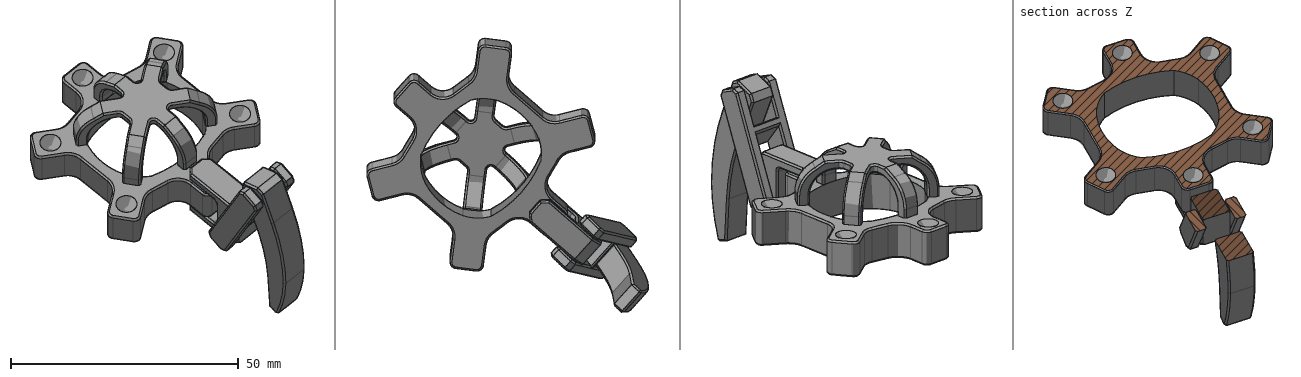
import cadquery as cq
import math

edge_bevel = 0.4
diagonal_angle = 56.0

ring_height = 8.35
arm_width = 7.4
arm_nose_radius = 1.45
straight_reach = 23.0
diagonal_reach = 25.2
body_half_depth = 15.9
flank_half_width = 15.3
flank_lean = 11.0
arm_root_radius = 3.9
opening_half_width = 11.7
opening_half_depth = 13.25
opening_flank_end = (10.25, 8.3)
opening_corner_mid = (8.35, 10.45)
opening_edge_end = (5.6, 12.2)
socket_diameter = 4.6
socket_depth = 2.3
straight_socket_distance = 19.5
diagonal_socket_distance = 21.2

leg_width = 4.1
leg_thickness = 2.65
straight_leg_reach = 14.35
diagonal_leg_reach = 15.75
straight_slope_end = 7.8
diagonal_slope_end = 9.75
leg_straight_height = 2.1
leg_outer_radius = 7.45
leg_inner_radius = 5.9
leg_arc_sweep = 61.5
dome_top = ring_height + 10.1
dome_ceiling = ring_height + leg_straight_height + leg_inner_radius
hub_half_depth = 6.05
hub_edge_radius = 1.3
leg_root_radius = 0.9

clevis_left = 15.8
clevis_right = 32.5
clevis_height = 13.4
clevis_center_height = ring_height / 2
clevis_width = 6.5
fork_corner = 1.45
fork_slot_end = 25.3
fork_clearance = 0.2
fork_slot_radius = 1.0
clevis_end_bevel = 2.45

link_lean = 68.0
plate_front = 23.6
plate_back = 29.5
plate_bottom = 8.85
plate_top = 36.6
plate_corner = 1.05
link_width = 12.1
link_gap = 6.8
bar_front_bottom = 25.65
bar_front_top = 27.6
bar_back_bottom = 22.1
bar_back_top = 23.6

lever_width = 6.5
head_front = 22.6
head_top = 37.7
head_bevel = 3.2
head_top_end = 27.7
head_front_bottom = 32.4
tail_inner_start = (36.5, 13.4)
tail_inner_end = (41.05, -3.8)
tail_inner_tip = (41.7, -14.1)
tail_outer_start = (42.9, 17.1)
tail_outer_widest = (46.7, -1.5)
tail_outer_low = (46.0, -8.35)
tail_outer_tip = (44.3, -14.9)


def rotated(point, angle):
    """Turn a plan point about the Z axis."""
    turn = math.radians(angle)
    x, y = point
    return (
        x * math.cos(turn) - y * math.sin(turn),
        x * math.sin(turn) + y * math.cos(turn),
    )


def mirrored_four_ways(quarter):
    """Complete a closed outline from its points in the first quadrant, listed counterclockwise."""
    left = [(-x, y) for x, y in reversed(quarter)]
    upper = quarter + left
    return upper + [(-x, -y) for x, y in upper]


def axis_distance(edge):
    """Distance of the middle of an edge from the Z axis."""
    center = edge.Center()
    return math.hypot(center.x, center.y)


def is_upright(edge):
    return edge.tangentAt(0.5).cross(cq.Vector(0, 0, 1)).Length < 0.01


def all_directions(straight_value, diagonal_value):
    """Pair the angle of each of the six arms or legs with its own value."""
    straight = [(angle, straight_value) for angle in (0, 180)]
    slanted = (diagonal_angle, 180 - diagonal_angle, 180 + diagonal_angle, -diagonal_angle)
    return straight + [(angle, diagonal_value) for angle in slanted]


def make_ring():
    half = arm_width / 2
    turn = math.radians(diagonal_angle)
    lean = math.tan(math.radians(flank_lean))
    straight_nose = (straight_reach, half)
    straight_root = (flank_half_width - half * lean, half)
    root_y = (flank_half_width * math.sin(turn) - half) / (math.cos(turn) + lean * math.sin(turn))
    flank_root = (flank_half_width - root_y * lean, root_y)
    near_nose = rotated((diagonal_reach, -half), diagonal_angle)
    far_nose = rotated((diagonal_reach, half), diagonal_angle)
    edge_root = ((body_half_depth * math.cos(turn) - half) / math.sin(turn), body_half_depth)
    outline = mirrored_four_ways(
        [straight_nose, straight_root, flank_root, near_nose, far_nose, edge_root]
    )
    ring = cq.Workplane("XY").polyline(outline).close().extrude(ring_height)

    def is_nose(edge):
        return axis_distance(edge) > straight_reach

    def is_arm_root(edge):
        return axis_distance(edge) < straight_socket_distance

    ring = ring.edges("|Z").filter(is_nose).fillet(arm_nose_radius)
    ring = ring.edges("|Z").filter(is_arm_root).fillet(arm_root_radius)
    ring = ring.faces("<Z or >Z").edges().chamfer(edge_bevel)
    return ring.cut(make_opening()).cut(make_sockets())


def make_opening():
    """Rounded hexagonal opening: an arc for each flank, corner and edge."""
    flank_x, flank_y = opening_flank_end
    corner_x, corner_y = opening_corner_mid
    edge_x, edge_y = opening_edge_end
    return (
        cq.Workplane("XY")
        .moveTo(flank_x, -flank_y)
        .threePointArc((opening_half_width, 0), (flank_x, flank_y))
        .threePointArc((corner_x, corner_y), (edge_x, edge_y))
        .threePointArc((0, opening_half_depth), (-edge_x, edge_y))
        .threePointArc((-corner_x, corner_y), (-flank_x, flank_y))
        .threePointArc((-opening_half_width, 0), (-flank_x, -flank_y))
        .threePointArc((-corner_x, -corner_y), (-edge_x, -edge_y))
        .threePointArc((0, -opening_half_depth), (edge_x, -edge_y))
        .threePointArc((corner_x, -corner_y), (flank_x, -flank_y))
        .close()
        .extrude(ring_height)
    )


def make_sockets():
    """Conical sockets in the tops of the arms."""
    centers = [
        rotated((distance, 0), angle)
        for angle, distance in all_directions(straight_socket_distance, diagonal_socket_distance)
    ]
    cone = cq.Solid.makeCone(0, socket_diameter / 2, socket_depth)
    socket = cone.translate(cq.Vector(0, 0, ring_height - socket_depth))
    return cq.Workplane("XY").pushPoints(centers).eachpoint(lambda place: socket.moved(place))


def make_leg(reach, slope_end):
    """One leg of the dome with its share of the hub, along +X."""
    sweep = math.radians(leg_arc_sweep)
    bend_z = ring_height + leg_straight_height
    outer_center = reach - leg_outer_radius
    inner_face = reach - leg_thickness

    def outer_arc(angle):
        return (outer_center + leg_outer_radius * math.cos(angle),
                bend_z + leg_outer_radius * math.sin(angle))

    arc_end = outer_arc(sweep)
    return (
        cq.Workplane("XZ")
        .moveTo(0, dome_ceiling)
        .lineTo(inner_face - leg_inner_radius, dome_ceiling)
        .radiusArc((inner_face, bend_z), leg_inner_radius)
        .lineTo(inner_face, ring_height)
        .lineTo(reach, ring_height)
        .lineTo(reach, bend_z)
        .threePointArc(outer_arc(sweep / 2), arc_end)
        .lineTo(slope_end, dome_top)
        .lineTo(0, dome_top)
        .close()
        .extrude(leg_width / 2, both=True)
    )


def make_dome():
    hub_thickness = dome_top - dome_ceiling
    half = leg_width / 2
    turn = math.radians(diagonal_angle)
    corner_x = (hub_half_depth * math.cos(turn) - half) / math.sin(turn)
    hub_corner = (corner_x, hub_half_depth)
    notch = (half * (1 + math.cos(turn)) / math.sin(turn), half)
    dome = (
        cq.Workplane("XY", origin=(0, 0, dome_ceiling))
        .polyline(mirrored_four_ways([notch, hub_corner]))
        .close()
        .extrude(hub_thickness)
    )
    straight_leg = make_leg(straight_leg_reach, straight_slope_end)
    diagonal_leg = make_leg(diagonal_leg_reach, diagonal_slope_end)
    for angle, leg in all_directions(straight_leg, diagonal_leg):
        dome = dome.union(leg.rotate((0, 0, 0), (0, 0, 1), angle))
    dome = dome.clean()

    def is_hub_upright(edge):
        return edge.Center().z > dome_ceiling and axis_distance(edge) < leg_outer_radius

    uprights = dome.edges("|Z").filter(is_hub_upright)
    dome = uprights.filter(lambda e: abs(e.Center().y) > hub_half_depth - 0.7).fillet(hub_edge_radius)
    uprights = dome.edges("|Z").filter(is_hub_upright)
    dome = uprights.filter(lambda e: abs(e.Center().y) < half + 0.1).fillet(leg_root_radius)

    def is_side_edge(edge):
        center = edge.Center()
        crosses_a_leg = any(
            abs(rotated((center.x, center.y), -angle)[1]) < 0.1
            for angle, _ in all_directions(straight_leg_reach, diagonal_leg_reach)
        )
        between_hub_faces = dome_ceiling + 0.1 < center.z < dome_top - 0.1 and is_upright(edge)
        on_ring = center.z < ring_height + 0.1
        return not (crosses_a_leg or between_hub_faces or on_ring)

    return dome.edges().filter(is_side_edge).chamfer(edge_bevel)


def make_clevis():
    low = clevis_center_height - clevis_height / 2
    slot_height = ring_height + 2 * fork_clearance
    length = clevis_right - clevis_left
    clevis = cq.Workplane("XY", origin=(clevis_left, -clevis_width / 2, low)).box(
        length, clevis_width, clevis_height, centered=False
    )
    clevis = clevis.edges("|Y and >X").chamfer(clevis_end_bevel)
    clevis = clevis.edges("|Z and <X").chamfer(fork_corner)
    slot_length = fork_slot_end - clevis_left
    slot = cq.Workplane("XY", origin=(clevis_left, 0, clevis_center_height)).box(
        slot_length, clevis_width, slot_height, centered=(False, True, True)
    )
    clevis = clevis.cut(slot.edges("|Y and >X").fillet(fork_slot_radius))

    def is_bevelled(edge):
        center = edge.Center()
        runs_along_y = edge.tangentAt(0.5).cross(cq.Vector(0, 1, 0)).Length < 0.01
        if runs_along_y or is_upright(edge):
            on_fork_tip = center.x < clevis_left + 0.1 and runs_along_y
            beside_slot = abs(center.x - fork_slot_end) < 0.1 and is_upright(edge)
            return on_fork_tip or beside_slot
        return center.x < fork_slot_end or abs(center.y) > clevis_width / 2 - 0.1

    return clevis.edges().filter(is_bevelled).chamfer(edge_bevel)


def link_plane():
    """Side plane of the link: x across its plates, y along them."""
    lean = math.radians(link_lean)
    return cq.Plane(origin=(0, 0, 0), xDir=(math.sin(lean), 0, -math.cos(lean)), normal=(0, -1, 0))


def make_link():
    plates = (
        cq.Workplane(link_plane())
        .center((plate_front + plate_back) / 2, (plate_bottom + plate_top) / 2)
        .rect(plate_back - plate_front, plate_top - plate_bottom)
        .extrude(link_width / 2, both=True)
        .edges("|Y")
        .chamfer(plate_corner)
    )
    bar = [
        (plate_front, bar_front_bottom),
        (plate_back, bar_back_bottom),
        (plate_back, bar_back_top),
        (plate_front, bar_front_top),
    ]
    gap_height = plate_top - plate_bottom
    gap = (
        cq.Workplane(link_plane())
        .center((plate_front + plate_back) / 2, (plate_bottom + plate_top) / 2)
        .rect(gap_height, gap_height)
        .extrude(link_gap / 2, both=True)
    )
    bar_block = cq.Workplane(link_plane()).polyline(bar).close().extrude(link_gap / 2, both=True)
    link = plates.cut(gap.cut(bar_block))

    def is_bevelled(edge):
        center = link_plane().toLocalCoords(edge.Center())
        runs_along_y = edge.tangentAt(0.5).cross(cq.Vector(0, 1, 0)).Length < 0.01
        on_face = min(center.x - plate_front, plate_back - center.x) < 0.1
        near_bar = bar_back_bottom - 0.7 < center.y < bar_front_top + 0.7
        if runs_along_y:
            return on_face and near_bar
        return on_face or not near_bar

    return link.edges().filter(is_bevelled).chamfer(edge_bevel)


def make_lever():
    plane = link_plane()

    def from_link(across, along):
        place = plane.toWorldCoords((across, along))
        return (place.x, place.z)

    lever = (
        cq.Workplane("XZ")
        .moveTo(*from_link(head_front, head_front_bottom))
        .lineTo(*from_link(head_front, head_top - head_bevel))
        .lineTo(*from_link(head_front + head_bevel, head_top))
        .lineTo(*from_link(head_top_end, head_top))
        .lineTo(*tail_outer_start)
        .tangentArcPoint(tail_outer_widest, relative=False)
        .threePointArc(tail_outer_low, tail_outer_tip)
        .lineTo(*tail_inner_tip)
        .lineTo(*tail_inner_end)
        .tangentArcPoint(tail_inner_start, relative=False)
        .close()
        .extrude(lever_width / 2, both=True)
    )
    lever = lever.edges("|Y and <Z").chamfer(edge_bevel)
    return lever.faces("<Y or >Y").edges().chamfer(edge_bevel)


ring = make_ring()
dome = make_dome()
clevis = make_clevis()
link = make_link()
lever = make_lever()

result = cq.Compound.makeCompound([ring.val(), dome.val(), clevis.val(), link.val(), lever.val()])